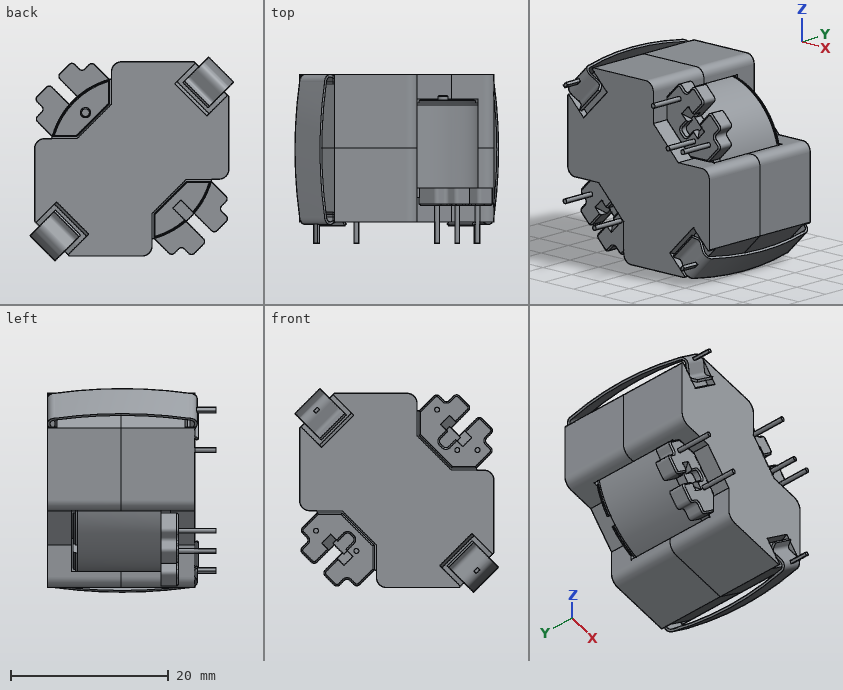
import cadquery as cq
import math


CORE_HALF_HEIGHT = 9.35
CORE_HALF_WIDTH = 12.32
CORE_CORNER_REACH = 14.28
NOTCH_EDGE = 2.58
NOTCH_FLAT_START = 6.92
WING_FILLET = 1.3
CAVITY_RADIUS = 10.59
CAVITY_HALF_HEIGHT = 6.25
POST_RADIUS = 5.42

RECESS_WIDTH = 5.75
RECESS_FLOOR_HEIGHT = 8.4
RECESS_OUTLET_HEIGHT = 8.1
RECESS_BREAK_REACH = 12.65
RECESS_FLOOR_REACH = 10.97
RECESS_RIM_REACH = 10.59

CLIP_WIDTH = 4.5
CLIP_THICKNESS = 0.34
CLIP_SHIFT = -0.15
STRAP_REACH = 16.0
STRAP_END_REACH = 15.18
STRAP_HALF_LENGTH = 8.5
HOOK_RADIUS = 1.0
HOOK_SLOPE = math.radians(22)
VALLEY_RADIUS = 0.5
LIP_REACH = 11.55
LIP_HEIGHT = 9.68
LIP_SLOPE = math.radians(52)
CLIP_PIN_WIDTH = 0.65
CLIP_PIN_DEPTH = 0.41
CLIP_PIN_REACH = 14.35

PIN_TIP = 12.05
FLANGE_RADIUS = 10.48
TUBE_RADIUS = 6.07
WINDING_RADIUS = 10.48
WINDING_FRONT = -5.03
WINDING_BACK = 5.5
BLOCK_FRONT = -7.25
BLOCK_EDGE = 0.2
BLOCK_ROUND = 0.5
BLOCK_INNER_REACH = 6.92
BLOCK_INNER_HALF_WIDTH = 2.92
BLOCK_HALF_WIDTH = 5.1
BLOCK_SHOULDER_REACH = 12.26
FINGER_HALF_WIDTH = 3.35
FINGER_REACH = 14.07
SLOT_HALF_WIDTH = 0.72
SLOT_END_REACH = 8.08
RAMP_HALF_WIDTH = 2.0
RAMP_REACH = 10.65
RAMP_LENGTH = 1.6
PIN_RADIUS = 0.3
PIN_PITCH = 2.55
BACK_RIM = 5.75
BACK_PAD = 6.1
PAD_RADIUS = 10.38
PAD_EDGE = 0.13
BOSS_RADIUS = 0.65
BOSS_HEIGHT = 0.6
BOSS_EDGE = 0.15
BOSS_PLACE = 5.85


def front_plane(y):
    """Plane across the axis: local x = X, local y = Z, extruding toward -Y."""
    return cq.Workplane(cq.Plane(origin=(0, y, 0), xDir=(1, 0, 0), normal=(0, -1, 0)))


def diagonal_plane(y):
    """Like front_plane but turned 45 degrees: local x runs out through a notch."""
    return cq.Workplane(cq.Plane(origin=(0, y, 0), xDir=(1, 0, 1), normal=(0, -1, 0)))


def clip_plane():
    """Lengthwise plane of a clip: local x runs out from the axis to the clip, local y = Y."""
    return cq.Workplane(cq.Plane(origin=(0, 0, 0), xDir=(-1, 0, 1), normal=(-1, 0, -1)))


def half_turn(body):
    return body.rotate((0, 0, 0), (0, 1, 0), 180)


def core_prism():
    corner = CORE_CORNER_REACH * math.sqrt(2) - CORE_HALF_WIDTH
    half_outline = [
        (-CORE_HALF_WIDTH, corner),
        (-corner, CORE_HALF_WIDTH),
        (NOTCH_EDGE, CORE_HALF_WIDTH),
        (NOTCH_EDGE, NOTCH_FLAT_START),
        (NOTCH_FLAT_START, NOTCH_EDGE),
        (CORE_HALF_WIDTH, NOTCH_EDGE),
    ]
    outline = half_outline + [(-x, -z) for x, z in half_outline]
    prism = front_plane(0).polyline(outline).close().extrude(CORE_HALF_HEIGHT)
    for sign in (1, -1):
        for x, z in ((NOTCH_EDGE, CORE_HALF_WIDTH), (CORE_HALF_WIDTH, NOTCH_EDGE)):
            corner_edge = cq.selectors.NearestToPointSelector(
                (sign * x, -CORE_HALF_HEIGHT / 2, sign * z))
            prism = prism.edges("|Y").edges(corner_edge).fillet(WING_FILLET)
    return prism


def clip_recess():
    profile = [
        (RECESS_RIM_REACH, -CORE_HALF_HEIGHT),
        (RECESS_FLOOR_REACH, -RECESS_FLOOR_HEIGHT),
        (RECESS_BREAK_REACH, -RECESS_FLOOR_HEIGHT),
        (CORE_CORNER_REACH, -RECESS_OUTLET_HEIGHT),
        (CORE_CORNER_REACH, -CORE_HALF_HEIGHT),
    ]
    return clip_plane().polyline(profile).close().extrude(RECESS_WIDTH / 2, both=True)


def front_core_half():
    cavity = front_plane(0).circle(CAVITY_RADIUS).circle(POST_RADIUS).extrude(CAVITY_HALF_HEIGHT)
    recess = clip_recess()
    return core_prism().cut(cavity).cut(recess).cut(half_turn(recess))


def direction(angle):
    return cq.Vector(math.cos(angle), math.sin(angle))


def tangent_centre(normal_1, offset_1, normal_2, offset_2):
    """Point at the given offsets along two unit normals."""
    cross = normal_1.x * normal_2.y - normal_1.y * normal_2.x
    return cq.Vector(
        (offset_1 * normal_2.y - offset_2 * normal_1.y) / cross,
        (offset_2 * normal_1.x - offset_1 * normal_2.x) / cross)


def clip_half(lip_height):
    """Half of the clip, from mid-strap round the -Y hook to the lip, centred on Y = 0."""
    sagitta = STRAP_REACH - STRAP_END_REACH
    bow_radius = (STRAP_HALF_LENGTH ** 2 + sagitta ** 2) / (2 * sagitta)
    bow_half_angle = math.asin(STRAP_HALF_LENGTH / bow_radius)
    bow_centre = cq.Vector(STRAP_REACH - bow_radius, 0)
    hook_centre = cq.Vector(STRAP_END_REACH - HOOK_RADIUS, -STRAP_HALF_LENGTH)
    leg_angle = -math.pi / 2 - HOOK_SLOPE
    lip_angle = -math.pi / 2 + LIP_SLOPE
    leg_normal = direction(leg_angle)
    lip_normal = direction(lip_angle)
    lip_run = (LIP_HEIGHT - lip_height) / math.tan(LIP_SLOPE)
    lip_tip = cq.Vector(LIP_REACH + lip_run, -lip_height)

    valley_centre = tangent_centre(
        leg_normal, leg_normal.dot(hook_centre) + HOOK_RADIUS + VALLEY_RADIUS,
        lip_normal, lip_normal.dot(lip_tip) + VALLEY_RADIUS)

    def trace(depth):
        """Points of the sheet surface lying `depth` under its outer face."""
        hook = HOOK_RADIUS - depth
        valley = VALLEY_RADIUS + depth
        sheet_shift = cq.Vector(depth, 0)
        points = [
            bow_centre + direction(0) * bow_radius - sheet_shift,
            bow_centre + direction(-bow_half_angle / 2) * bow_radius - sheet_shift,
            hook_centre + direction(0) * hook,
            hook_centre + direction(leg_angle / 2) * hook,
            hook_centre + leg_normal * hook,
            valley_centre - leg_normal * valley,
            valley_centre - direction((leg_angle + lip_angle) / 2) * valley,
            valley_centre - lip_normal * valley,
            lip_tip - lip_normal * depth,
        ]
        return [(point.x, point.y) for point in points]

    outer = trace(0)
    inner = trace(CLIP_THICKNESS)[::-1]
    profile = (
        clip_plane().moveTo(*outer[0])
        .threePointArc(*outer[1:3]).threePointArc(*outer[3:5])
        .lineTo(*outer[5]).threePointArc(*outer[6:8]).lineTo(*outer[8])
        .lineTo(*inner[0]).lineTo(*inner[1])
        .threePointArc(*inner[2:4]).lineTo(*inner[4])
        .threePointArc(*inner[5:7]).threePointArc(*inner[7:9])
        .close()
    )
    return profile.extrude(CLIP_WIDTH / 2, both=True)


def clip():
    front_half = clip_half(LIP_HEIGHT)
    back_half = clip_half(CORE_HALF_HEIGHT - CLIP_SHIFT).mirror("XZ")
    sheet = front_half.union(back_half).translate((0, CLIP_SHIFT, 0))
    hook_top = STRAP_HALF_LENGTH + HOOK_RADIUS - CLIP_SHIFT
    pin_root = hook_top - CLIP_THICKNESS / 2
    pin = (
        diagonal_plane(-pin_root)
        .center(0, CLIP_PIN_REACH)
        .rect(CLIP_PIN_WIDTH, CLIP_PIN_DEPTH)
        .extrude(PIN_TIP - pin_root)
    )
    return sheet.union(pin)


def mirrored(half_outline):
    """Complete an outline that is symmetric about the notch diagonal."""
    return half_outline + [(along, -across) for along, across in reversed(half_outline)]


def notch_edges():
    """Half of the outline parallel to the notch walls, up to the full block width."""
    widening = BLOCK_HALF_WIDTH - BLOCK_INNER_HALF_WIDTH
    return [
        (BLOCK_INNER_REACH, BLOCK_INNER_HALF_WIDTH),
        (BLOCK_INNER_REACH + widening, BLOCK_HALF_WIDTH),
    ]


def pin_block():
    """Block that fills one notch and carries pins, with a wire slot between two fingers."""
    height = WINDING_FRONT - BLOCK_FRONT
    body_outline = mirrored(notch_edges() + [
        (BLOCK_SHOULDER_REACH, BLOCK_HALF_WIDTH),
        (BLOCK_SHOULDER_REACH, FINGER_HALF_WIDTH),
        (FINGER_REACH, FINGER_HALF_WIDTH),
        (FINGER_REACH, SLOT_HALF_WIDTH),
        (SLOT_END_REACH, SLOT_HALF_WIDTH),
    ])
    block = diagonal_plane(WINDING_FRONT).polyline(body_outline).close().extrude(height)
    for along, across in body_outline:
        if (along, abs(across)) not in notch_edges():
            corner = cq.selectors.NearestToPointSelector((
                (along - across) / math.sqrt(2),
                WINDING_FRONT - height / 2,
                (along + across) / math.sqrt(2)))
            block = block.edges("|Y").edges(corner).fillet(BLOCK_ROUND)
    block = block.faces("<Y").edges().chamfer(BLOCK_EDGE)
    return block.cut(slot_ramps())


def slot_ramps():
    """V-shaped cut across the slot, sloping at 45 degrees from the block face."""
    profile = [
        (-RAMP_HALF_WIDTH, BLOCK_FRONT),
        (RAMP_HALF_WIDTH, BLOCK_FRONT),
        (0, BLOCK_FRONT + RAMP_HALF_WIDTH),
    ]
    wedge = clip_plane().polyline(profile).close().extrude(RAMP_LENGTH / 2, both=True)
    axis_shift = RAMP_REACH / math.sqrt(2)
    return wedge.translate((axis_shift, 0, axis_shift))


def back_pad():
    """Raised part of the back flange that shows in one notch."""
    outline = mirrored(notch_edges() + [(FINGER_REACH, BLOCK_HALF_WIDTH)])
    height = BACK_PAD - BACK_RIM
    sector = diagonal_plane(BACK_PAD).polyline(outline).close().extrude(height)
    disc = front_plane(BACK_PAD).circle(PAD_RADIUS).extrude(height)
    return sector.intersect(disc).faces(">Y").edges().chamfer(PAD_EDGE)


def back_slot():
    """Wire slot through the back flange, cut along the notch diagonal."""
    length = FINGER_REACH - SLOT_END_REACH
    return (
        diagonal_plane(BACK_PAD)
        .center(SLOT_END_REACH + length / 2, 0)
        .rect(length, 2 * SLOT_HALF_WIDTH)
        .extrude(BACK_PAD - WINDING_BACK)
    )


def locating_boss():
    return (
        front_plane(BACK_PAD + BOSS_HEIGHT)
        .center(BOSS_PLACE, BOSS_PLACE)
        .circle(BOSS_RADIUS)
        .extrude(BOSS_HEIGHT)
        .faces(">Y").edges().chamfer(BOSS_EDGE)
    )


def spool():
    """Tube with a thick front flange and a thin back flange; the core post fills its bore."""
    front_flange = front_plane(WINDING_FRONT).circle(FLANGE_RADIUS).extrude(
        WINDING_FRONT + CAVITY_HALF_HEIGHT)
    back_flange = front_plane(BACK_RIM).circle(FLANGE_RADIUS).extrude(BACK_RIM - WINDING_BACK)
    tube = front_plane(CAVITY_HALF_HEIGHT).circle(TUBE_RADIUS).extrude(2 * CAVITY_HALF_HEIGHT)
    bore = front_plane(CAVITY_HALF_HEIGHT).circle(POST_RADIUS).extrude(2 * CAVITY_HALF_HEIGHT)
    return tube.union(front_flange).union(back_flange).cut(bore)


def round_pins():
    grid_places = [(2, 4), (3, 2), (4, 2), (-4, -2), (-2, -3)]
    centres = [(PIN_PITCH * column, PIN_PITCH * row) for column, row in grid_places]
    return front_plane(-CAVITY_HALF_HEIGHT).pushPoints(centres).circle(PIN_RADIUS).extrude(
        PIN_TIP - CAVITY_HALF_HEIGHT)


def bobbin():
    block = pin_block()
    pad = back_pad()
    body = spool().union(block).union(half_turn(block)).union(pad).union(half_turn(pad))
    body = body.cut(half_turn(back_slot()))
    return body.union(locating_boss()).union(round_pins())


def winding():
    return front_plane(WINDING_BACK).circle(WINDING_RADIUS).circle(TUBE_RADIUS).extrude(
        WINDING_BACK - WINDING_FRONT)


front_core = front_core_half()
back_core = front_core.mirror("XZ")
coil_former = bobbin()
coil = winding()
upper_clip = clip()
lower_clip = half_turn(upper_clip)

result = cq.Compound.makeCompound([
    front_core.val(),
    back_core.val(),
    coil_former.val(),
    coil.val(),
    upper_clip.val(),
    lower_clip.val(),
])